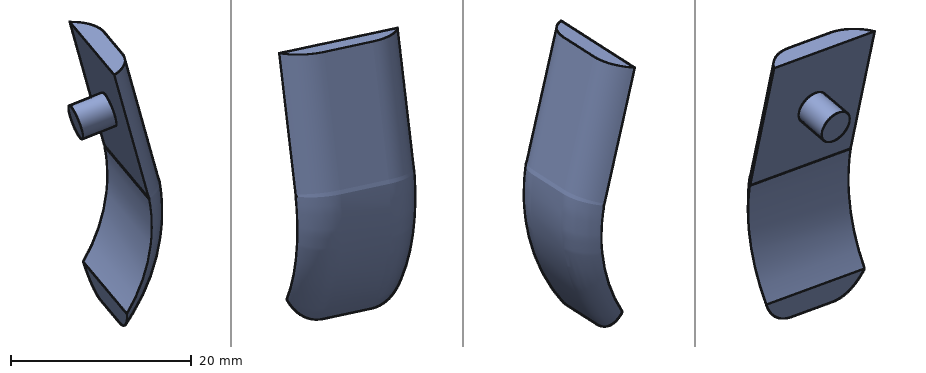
import cadquery as cq
import math

corner_radius = 5.0
back_flat = 6.05
plate_thickness = 2.5
blank_depth = 3.28

plate_lean = 14.5
plate_base_y = -0.43
plate_base_z = 17.55
plate_blank_length = 18.05
height = 32.83
top_slope = 6.5

back_radius = 22.05
back_center_z = 13.65
blade_start_angle = 9.0
blade_sweep = 60.0
front_radius = 19.37
front_center_y = -21.83
front_center_z = 13.2
tip_slope = -78.6

pin_diameter = 4.0
pin_length = 4.05
pin_position = 8.1

trim_size = 65.65


def section_plane(y, z, lean):
    """Plane on the back face: local x is X, local y points backwards, normal runs upwards."""
    angle = math.radians(lean)
    return cq.Plane(origin=(0, y, z), xDir=(1, 0, 0), normal=(0, -math.sin(angle), math.cos(angle)))


def section(plane, depth):
    """Closed section of the given depth, with its back flat on the plane's local x axis."""
    flat = back_flat / 2

    def round_x(below_back):
        return flat + math.sqrt(corner_radius**2 - (corner_radius - below_back) ** 2)

    edge = round_x(depth)
    middle = round_x(depth / 3)
    return (
        cq.Workplane(plane)
        .moveTo(-edge, -depth)
        .lineTo(edge, -depth)
        .threePointArc((middle, -depth / 3), (flat, 0))
        .lineTo(-flat, 0)
        .threePointArc((-middle, -depth / 3), (-edge, -depth))
        .close()
    )


def trim_block(y, z, slope, side):
    """Large block above (side=1) or below (side=-1) a plane sloping down towards the front."""
    return (
        cq.Workplane("XY")
        .box(trim_size, trim_size, trim_size)
        .translate((0, 0, side * trim_size / 2))
        .rotate((0, 0, 0), (1, 0, 0), slope)
        .translate((0, y, z))
    )


plate_plane = section_plane(plate_base_y, plate_base_z, plate_lean)
plate = section(plate_plane, plate_thickness).extrude(plate_blank_length)
top_back_y = plate_base_y - (height - plate_base_z) * math.tan(math.radians(plate_lean))
plate = plate.cut(trim_block(top_back_y, height, top_slope, 1))

start = math.radians(blade_start_angle)
blade_y = back_radius * (math.cos(start) - 1)
blade_z = back_center_z + back_radius * math.sin(start)
blade_plane = section_plane(blade_y, blade_z, blade_start_angle)
blade = section(blade_plane, blank_depth).revolve(blade_sweep, (0.33, -back_radius), (-0.33, -back_radius))
hollow = (
    cq.Workplane("YZ")
    .center(front_center_y, front_center_z)
    .circle(front_radius)
    .extrude(trim_size / 2, both=True)
)
tip_y = math.sqrt(back_radius**2 - back_center_z**2) - back_radius
tip_block = trim_block(tip_y, 0, tip_slope, -1)
blade = blade.cut(hollow).cut(tip_block)

upper_wire = section(plate_plane, plate_thickness).wire().val()
lower_wire = section(blade_plane, plate_thickness).wire().val()
transition = cq.Workplane(cq.Solid.makeLoft([lower_wire, upper_wire], True))

pin_plane = cq.Plane(
    origin=plate_plane.toWorldCoords((0, -plate_thickness / 2, pin_position)),
    xDir=(1, 0, 0),
    normal=-plate_plane.yDir,
)
pin = cq.Workplane(pin_plane).circle(pin_diameter / 2).extrude(plate_thickness / 2 + pin_length)

result = plate.union(transition).union(blade).union(pin)